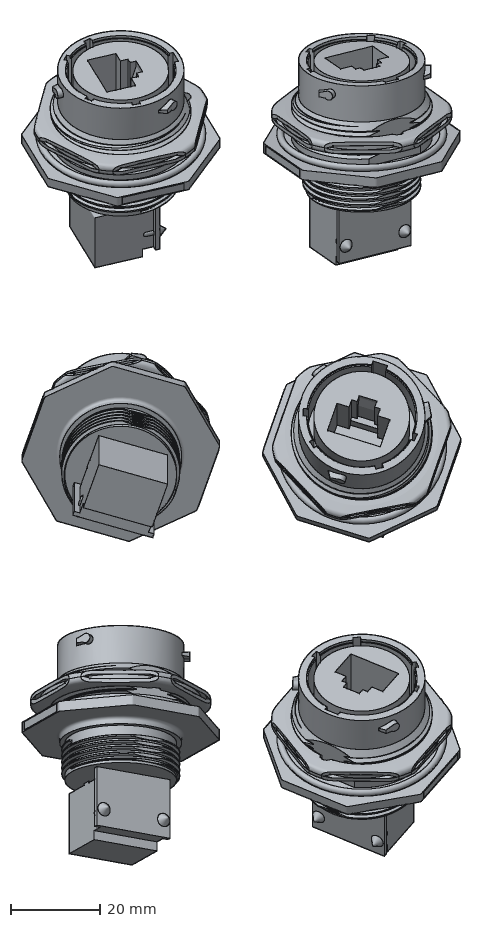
import cadquery as cq
import math


TOP_Z = 19.10
BOTTOM_Z = -28.86

JOIN_OVERLAP = 1.0

FLANGE_WIDTH = 41.28
FLANGE_THICKNESS = 2.38
FLANGE_CORNER_RADIUS = 0.75
LABEL_PAD_HEIGHT = 0.10
LABEL_PAD_SIZE = (14.8, 2.0)

BARREL_RADIUS = 14.20
BARREL_BASE_Z = 10.20
BORE_RADIUS = 12.10
BORE_MOUTH_RADIUS = 12.40
BORE_MOUTH_DEPTH = 0.65
INSERT_RADIUS = 10.75
INSERT_RECESS = 0.35
GROOVE_DEPTH = 10.0
KEYWAY_RADIUS = 13.20
MAIN_KEYWAY = (90.0, 3.40)
SIDE_KEYWAY_WIDTH = 1.75
SIDE_KEYWAY_ANGLES = (-5.0, 194.5, 230.0, 306.0)

LUG_ANGLES = (30.0, 150.0, 270.0)
LUG_Z = 16.40
LUG_HEAD_RADIUS = 1.10
LUG_OUTER_RADIUS = 15.50
LUG_TAIL_LENGTH = 3.36
LUG_TAIL_BOTTOM = 0.80
LUG_TAIL_TOP = 0.10
LUG_TAIL_SLOPE_RUN = 1.0
LUG_TAIL_END_RADIUS = 13.80
LUG_TANGENT_ANGLE = 60.0

JACK_HALF_WIDTH = 6.24
JACK_Y_RANGE = (-5.66, 1.20)
JACK_DEPTH = 14.0
STEP_HALF_WIDTH = 3.37
STEP_Y = 3.0
STEP_LEDGE_Y = 2.13
STEP_DEPTH = 11.0
TAB_HALF_WIDTH = 2.08
TAB_Y = 4.49
TAB_INNER_Y = 3.63
TAB_SLOPE_DEPTHS = (1.36, 4.20)

UPPER_ROOT_RADIUS = 14.90
UPPER_CREST_RADIUS = 15.85
UPPER_PITCH = 1.411
UPPER_CREST_WIDTH = 0.15
UPPER_GROOVE_ROOT_WIDTH = 0.15
UPPER_GROOVE_START_ANGLE = 270.0
UPPER_GROOVE_START_Z = 1.80
UPPER_GROOVE_TURNS = 6.0
GROOVE_OVERCUT = 0.5
UPPER_CHAMFER_END_Z = 8.20
UPPER_FLAT_Y = 14.35

COLLAR_RADIUS = 13.70
COLLAR_BOTTOM_Z = -4.0
COLLAR_FILLET = 0.70
NECK_RADIUS = 12.56
NECK_BOTTOM_Z = -12.83
LOWER_CREST_RADIUS = 13.26
LOWER_PITCH = 1.39
LOWER_CREST_Z = -12.43
LOWER_THREAD_Z = (-12.20, -5.40)
LOWER_THREAD_TURNS = 5.0
LOWER_RIDGE_CREST_WIDTH = 0.35
LOWER_RIDGE_FOOT_WIDTH = 1.10
RIDGE_SINK = 0.15
LOWER_FLAT_Y = 12.72

RING_SECTION_RADIUS = 0.80
RING_OUTER_RADIUS = 19.10
RING_SINK = 0.06

NUT_MID_Z = 5.68
NUT_HEIGHT = 3.03
NUT_ACROSS_FLATS = 36.55
NUT_CORNER_RADIUS = 20.24
NUT_EDGE_RADIUS = 1.10
NUT_FACE_RADIUS = 17.20
NUT_FACE_DROP = 0.12
NUT_BORE_RADIUS = 15.0
NUT_BORE_CHAMFER = 0.80
NUT_SLOT_RADIUS = 18.22
NUT_SLOT_TIP_RADIUS = 20.07
NUT_SLOT_TAPER = 0.75
NUT_SLOT_HEIGHT = 1.04
NUT_NOTCH_RADIUS = 1.45
NUT_NOTCH_END_Y = 16.70

BOARD_HALF_WIDTH = 9.42
BOARD_Y_RANGE = (4.80, 5.84)
BOARD_BOTTOM_Z = -26.72
HOUSING_HALF_WIDTH = 8.11
HOUSING_FRONT_Y = -9.24
HOUSING_TOP_Z = -14.65
HOUSING_NOTCH_Y = 2.22
HOUSING_EDGE_RADIUS = 0.30
BUMP_X_RANGE = (4.10, HOUSING_HALF_WIDTH)
BUMP_Y_RANGE = (-2.44, -0.39)
BUMP_HEIGHT = 0.40
PEG_X = 7.68
PEG_Z = -22.70
PEG_RADIUS = 0.78
PEG_ROUND_Y = 3.06
PEG_CONE_RADIUS = 1.57
PEG_CONE_BASE_Y = 6.0
PEG_TIP_Y = 8.0


def box(x_range, y_range, z_range):
    """Axis-aligned box between the given limits."""
    size = [high - low for low, high in (x_range, y_range, z_range)]
    corner = (x_range[0], y_range[0], z_range[0])
    return cq.Workplane("XY").box(*size, centered=False).translate(corner)


def cylinder(radius, low, high):
    """Cylinder on the Z axis."""
    return cq.Workplane("XY").workplane(offset=low).circle(radius).extrude(high - low)


def revolve_profile(points):
    """Solid of revolution about Z from (radius, z) points."""
    return cq.Workplane("XZ").polyline(points).close().revolve(360, (0, 0, 0), (0, 1, 0))


def helical_sweep(profile_points, pitch, turns):
    """Right-handed helical solid that starts on the +X side, from (radius, z) points."""
    helix = cq.Wire.makeHelix(pitch, pitch * turns, profile_points[0][0])
    profile = cq.Workplane("XZ").polyline(profile_points).close()
    return profile.sweep(cq.Workplane(helix), isFrenet=True)


def upper_thread():
    blank = revolve_profile([
        (0, -JOIN_OVERLAP),
        (UPPER_CREST_RADIUS, -JOIN_OVERLAP),
        (UPPER_CREST_RADIUS, UPPER_CHAMFER_END_Z),
        (BARREL_RADIUS, BARREL_BASE_Z),
        (0, BARREL_BASE_Z),
    ])
    root_half = UPPER_GROOVE_ROOT_WIDTH / 2
    mouth_half = (UPPER_PITCH - UPPER_CREST_WIDTH) / 2
    groove = helical_sweep([
        (UPPER_ROOT_RADIUS, -root_half),
        (UPPER_CREST_RADIUS, -mouth_half),
        (UPPER_CREST_RADIUS + GROOVE_OVERCUT, -mouth_half),
        (UPPER_CREST_RADIUS + GROOVE_OVERCUT, mouth_half),
        (UPPER_CREST_RADIUS, mouth_half),
        (UPPER_ROOT_RADIUS, root_half),
    ], UPPER_PITCH, UPPER_GROOVE_TURNS)
    groove = groove.rotate((0, 0, 0), (0, 0, 1), UPPER_GROOVE_START_ANGLE)
    thread = blank.cut(groove.translate((0, 0, UPPER_GROOVE_START_Z)))
    reach = UPPER_CREST_RADIUS + JOIN_OVERLAP
    flat = box((-reach, reach), (UPPER_FLAT_Y, reach), (0, BARREL_BASE_Z))
    return thread.cut(flat)


def lower_thread():
    low, high = LOWER_THREAD_Z
    core = cylinder(NECK_RADIUS, NECK_BOTTOM_Z, COLLAR_BOTTOM_Z)
    ridge_foot = NECK_RADIUS - RIDGE_SINK
    foot_half = LOWER_RIDGE_FOOT_WIDTH / 2
    crest_half = LOWER_RIDGE_CREST_WIDTH / 2
    ridge = helical_sweep([
        (ridge_foot, -foot_half),
        (LOWER_CREST_RADIUS, -crest_half),
        (LOWER_CREST_RADIUS, crest_half),
        (ridge_foot, foot_half),
    ], LOWER_PITCH, LOWER_THREAD_TURNS).translate((0, 0, LOWER_CREST_Z))
    reach = LOWER_CREST_RADIUS + JOIN_OVERLAP
    band = box((-reach, reach), (-LOWER_FLAT_Y, LOWER_FLAT_Y), (low, high))
    return core.union(ridge.intersect(band))


def flange():
    octagon = cq.Workplane("XY").polygon(8, FLANGE_WIDTH, circumscribed=True)
    plate = octagon.extrude(-FLANGE_THICKNESS)
    plate = plate.edges("|Z").fillet(FLANGE_CORNER_RADIUS)
    half_x = FLANGE_WIDTH / 2 + LABEL_PAD_HEIGHT
    half_y = LABEL_PAD_SIZE[0] / 2
    margin = (FLANGE_THICKNESS - LABEL_PAD_SIZE[1]) / 2
    pads = box((-half_x, half_x), (-half_y, half_y), (margin - FLANGE_THICKNESS, -margin))
    return plate.union(pads)


def flange_collar():
    flange_bottom = -FLANGE_THICKNESS
    arc_in = COLLAR_FILLET * (1 - math.sqrt(0.5))
    profile = (
        cq.Workplane("XZ")
        .moveTo(0, flange_bottom + JOIN_OVERLAP)
        .lineTo(COLLAR_RADIUS + COLLAR_FILLET, flange_bottom + JOIN_OVERLAP)
        .lineTo(COLLAR_RADIUS + COLLAR_FILLET, flange_bottom)
        .threePointArc((COLLAR_RADIUS + arc_in, flange_bottom - arc_in),
                       (COLLAR_RADIUS, flange_bottom - COLLAR_FILLET))
        .lineTo(COLLAR_RADIUS, COLLAR_BOTTOM_Z)
        .lineTo(0, COLLAR_BOTTOM_Z)
        .close()
    )
    return profile.revolve(360, (0, 0, 0), (0, 1, 0))


def sealing_ring():
    center = (RING_OUTER_RADIUS - RING_SECTION_RADIUS, RING_SECTION_RADIUS - RING_SINK)
    section = cq.Workplane("XZ").center(*center).circle(RING_SECTION_RADIUS)
    return section.revolve(360, (-center[0], 0, 0), (-center[0], 1, 0))


def nut():
    half = NUT_HEIGHT / 2
    shoulder = half - NUT_FACE_DROP
    top_chamfer_radius = NUT_BORE_RADIUS + NUT_BORE_CHAMFER
    edge_start = NUT_CORNER_RADIUS - NUT_EDGE_RADIUS
    arc_in = NUT_EDGE_RADIUS * (1 - math.sqrt(0.5))
    arc_mid = NUT_CORNER_RADIUS - arc_in
    body = (
        cq.Workplane("XZ")
        .moveTo(NUT_BORE_RADIUS, -half + NUT_BORE_CHAMFER)
        .lineTo(top_chamfer_radius, -half)
        .lineTo(NUT_FACE_RADIUS, -half)
        .lineTo(edge_start, -shoulder)
        .threePointArc((arc_mid, arc_in - shoulder), (NUT_CORNER_RADIUS, NUT_EDGE_RADIUS - shoulder))
        .lineTo(NUT_CORNER_RADIUS, shoulder - NUT_EDGE_RADIUS)
        .threePointArc((arc_mid, shoulder - arc_in), (edge_start, shoulder))
        .lineTo(NUT_FACE_RADIUS, half)
        .lineTo(top_chamfer_radius, half)
        .lineTo(NUT_BORE_RADIUS, half - NUT_BORE_CHAMFER)
        .close()
        .revolve(360, (0, 0, 0), (0, 1, 0))
    )
    hexagon = (
        cq.Workplane("XY").workplane(offset=-half)
        .polygon(6, NUT_ACROSS_FLATS, circumscribed=True).extrude(NUT_HEIGHT)
    )
    slot_half = NUT_SLOT_HEIGHT / 2
    taper_start = NUT_SLOT_TIP_RADIUS - NUT_SLOT_TAPER
    slot = revolve_profile([
        (NUT_SLOT_RADIUS, -slot_half),
        (taper_start, -slot_half),
        (NUT_SLOT_TIP_RADIUS, 0),
        (taper_start, slot_half),
        (NUT_SLOT_RADIUS, slot_half),
    ])
    notch_center_y = NUT_NOTCH_END_Y - NUT_NOTCH_RADIUS
    notch = box((-NUT_NOTCH_RADIUS, NUT_NOTCH_RADIUS), (UPPER_FLAT_Y, notch_center_y), (-half, half))
    notch = notch.union(cylinder(NUT_NOTCH_RADIUS, -half, half).translate((0, notch_center_y, 0)))
    return body.intersect(hexagon).cut(slot).cut(notch).translate((0, 0, NUT_MID_Z))


def barrel_cavity():
    """Space around the insert, its keyways and the recess above the insert."""
    floor_z = TOP_Z - GROOVE_DEPTH
    cavity = cylinder(BORE_RADIUS, floor_z, TOP_Z)
    cavity = cavity.union(cylinder(BORE_MOUTH_RADIUS, TOP_Z - BORE_MOUTH_DEPTH, TOP_Z))
    keyways = [MAIN_KEYWAY] + [(angle, SIDE_KEYWAY_WIDTH) for angle in SIDE_KEYWAY_ANGLES]
    for angle, width in keyways:
        slot = box((INSERT_RADIUS, KEYWAY_RADIUS), (-width / 2, width / 2), (floor_z, TOP_Z))
        cavity = cavity.union(slot.rotate((0, 0, 0), (0, 0, 1), angle))
    return cavity.cut(cylinder(INSERT_RADIUS, floor_z, TOP_Z - INSERT_RECESS))


def bayonet_lug(angle):
    """Round-headed lug with a clockwise tail that slopes down to the barrel."""
    tangent = math.radians(LUG_TANGENT_ANGLE)
    head_top = (LUG_HEAD_RADIUS * -math.cos(tangent), LUG_HEAD_RADIUS * math.sin(tangent))
    base = BARREL_RADIUS - JOIN_OVERLAP
    height = LUG_OUTER_RADIUS - base
    plane = cq.Plane(origin=(0, -base, LUG_Z), xDir=(1, 0, 0), normal=(0, -1, 0))
    head = cq.Workplane(plane).circle(LUG_HEAD_RADIUS).extrude(height)
    tail = cq.Workplane(plane).polyline([
        (0, -LUG_TAIL_BOTTOM),
        (-LUG_TAIL_LENGTH, -LUG_TAIL_BOTTOM),
        (-LUG_TAIL_LENGTH, -LUG_TAIL_TOP),
        head_top,
        (0, 0),
    ]).close().extrude(height)
    side_profile = cq.Workplane("XY").workplane(offset=LUG_Z - LUG_HEAD_RADIUS).polyline([
        (LUG_HEAD_RADIUS, -base),
        (LUG_HEAD_RADIUS, -LUG_OUTER_RADIUS),
        (LUG_TAIL_SLOPE_RUN - LUG_TAIL_LENGTH, -LUG_OUTER_RADIUS),
        (-LUG_TAIL_LENGTH, -LUG_TAIL_END_RADIUS),
        (-LUG_TAIL_LENGTH, -base),
    ]).close().extrude(2 * LUG_HEAD_RADIUS)
    lug = head.union(tail).intersect(side_profile)
    return lug.rotate((0, 0, 0), (0, 0, 1), angle + 90)


def jack_opening():
    face_z = TOP_Z - INSERT_RECESS
    main = box((-JACK_HALF_WIDTH, JACK_HALF_WIDTH), JACK_Y_RANGE, (face_z - JACK_DEPTH, face_z))
    step_x = (-STEP_HALF_WIDTH, STEP_HALF_WIDTH)
    deep_step = box(step_x, (0, STEP_LEDGE_Y), (face_z - JACK_DEPTH, face_z))
    step = box(step_x, (0, STEP_Y), (face_z - STEP_DEPTH, face_z))
    slope_top, slope_bottom = TAB_SLOPE_DEPTHS
    tab = cq.Workplane("YZ").workplane(offset=-TAB_HALF_WIDTH).polyline([
        (0, face_z),
        (TAB_Y, face_z),
        (TAB_Y, face_z - slope_top),
        (TAB_INNER_Y, face_z - slope_bottom),
        (TAB_INNER_Y, face_z - STEP_DEPTH),
        (0, face_z - STEP_DEPTH),
    ]).close().extrude(2 * TAB_HALF_WIDTH)
    return main.union(deep_step).union(step).union(tab)


def jack_housing():
    board_face_y = BOARD_Y_RANGE[0]
    side_x = (-HOUSING_HALF_WIDTH, HOUSING_HALF_WIDTH)
    housing = box(side_x, (HOUSING_FRONT_Y, board_face_y), (BOTTOM_Z, HOUSING_TOP_Z))
    housing = housing.edges("<Y and >Z").fillet(HOUSING_EDGE_RADIUS)
    housing = housing.cut(box(side_x, (HOUSING_NOTCH_Y, board_face_y), (BOTTOM_Z, BOARD_BOTTOM_Z)))
    board_x = (-BOARD_HALF_WIDTH, BOARD_HALF_WIDTH)
    housing = housing.union(box(board_x, BOARD_Y_RANGE, (BOARD_BOTTOM_Z, NECK_BOTTOM_Z + JOIN_OVERLAP)))
    bump_z = (HOUSING_TOP_Z - BUMP_HEIGHT, HOUSING_TOP_Z + BUMP_HEIGHT)
    bump = box(BUMP_X_RANGE, BUMP_Y_RANGE, bump_z)
    peg = snap_peg()
    for feature in (bump, peg):
        housing = housing.union(feature).union(feature.mirror("YZ"))
    return housing


def snap_peg():
    """Peg along +Y with a round inner end and a conical snap head behind the board."""
    corner = PEG_RADIUS * math.sqrt(0.5)
    outline = (
        cq.Workplane("XY").workplane(offset=PEG_Z)
        .moveTo(PEG_X, PEG_ROUND_Y - PEG_RADIUS)
        .threePointArc((PEG_X + corner, PEG_ROUND_Y - corner), (PEG_X + PEG_RADIUS, PEG_ROUND_Y))
        .lineTo(PEG_X + PEG_RADIUS, PEG_CONE_BASE_Y)
        .lineTo(PEG_X + PEG_CONE_RADIUS, PEG_CONE_BASE_Y)
        .lineTo(PEG_X, PEG_TIP_Y)
        .close()
    )
    return outline.revolve(360, (PEG_X, 0, 0), (PEG_X, 1, 0))


def receptacle():
    body = cylinder(BARREL_RADIUS, 0, TOP_Z).union(upper_thread())
    for angle in LUG_ANGLES:
        body = body.union(bayonet_lug(angle))
    body = body.cut(barrel_cavity()).cut(jack_opening())
    for piece in (flange(), flange_collar(), lower_thread(), sealing_ring(), nut(), jack_housing()):
        body = body.union(piece)
    return body


result = receptacle()